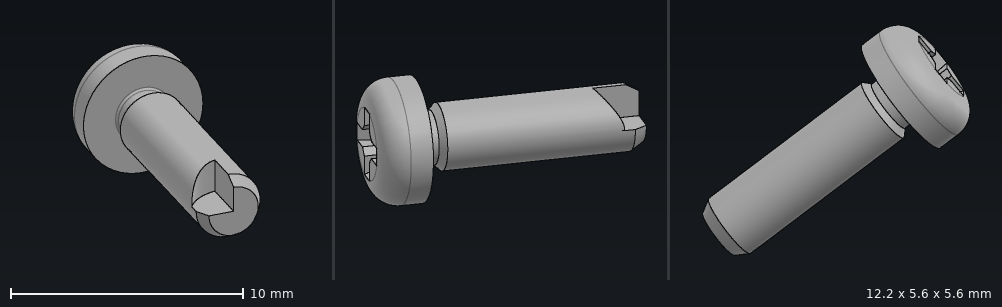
import cadquery as cq
import math

HEAD_RADIUS = 2.8
HEAD_HEIGHT = 2.2
DOME_RADIUS = 1.2

NECK_RADIUS = 1.2
NECK_END = 2.9
UNDERHEAD_FILLET = 0.1
SHANK_RADIUS = 1.5
SHANK_START = 3.2
TOTAL_LENGTH = 12.2

TIP_CHAMFER_LENGTH = 0.6
TIP_CHAMFER_ANGLE = 30

ARM_WIDTH = 0.8
ARM_REACH_AT_FACE = 1.56
ARM_REACH_AT_FLOOR = 1.05
RECESS_DEPTH = 1.4
CORNER_CHAMFER = 0.31

NOTCH_RADIUS = 2.1
NOTCH_CENTRE_Y = 0.3

MID_ARC = math.sqrt(0.5)


def make_body():
    """Head, neck and shank, revolved about the X axis."""
    dome_offset = DOME_RADIUS * MID_ARC
    fillet_offset = UNDERHEAD_FILLET * (1 - MID_ARC)
    tip_radius = SHANK_RADIUS - TIP_CHAMFER_LENGTH * math.tan(math.radians(TIP_CHAMFER_ANGLE))
    profile = (
        cq.Workplane("XY")
        .lineTo(0, HEAD_RADIUS - DOME_RADIUS)
        .threePointArc(
            (DOME_RADIUS - dome_offset, HEAD_RADIUS - DOME_RADIUS + dome_offset),
            (DOME_RADIUS, HEAD_RADIUS),
        )
        .lineTo(HEAD_HEIGHT, HEAD_RADIUS)
        .lineTo(HEAD_HEIGHT, NECK_RADIUS + UNDERHEAD_FILLET)
        .threePointArc(
            (HEAD_HEIGHT + fillet_offset, NECK_RADIUS + fillet_offset),
            (HEAD_HEIGHT + UNDERHEAD_FILLET, NECK_RADIUS),
        )
        .lineTo(NECK_END, NECK_RADIUS)
        .lineTo(SHANK_START, SHANK_RADIUS)
        .lineTo(TOTAL_LENGTH - TIP_CHAMFER_LENGTH, SHANK_RADIUS)
        .lineTo(TOTAL_LENGTH, tip_radius)
        .lineTo(TOTAL_LENGTH, 0)
        .close()
    )
    return profile.revolve(360, (0, 0, 0), (1, 0, 0))


def make_cross_recess():
    """Two crossing slots with sloped ends, around an eight-sided core."""
    slot = (
        cq.Workplane("XZ", origin=(0, ARM_WIDTH / 2, 0))
        .moveTo(0, -ARM_REACH_AT_FACE)
        .lineTo(0, ARM_REACH_AT_FACE)
        .lineTo(RECESS_DEPTH, ARM_REACH_AT_FLOOR)
        .lineTo(RECESS_DEPTH, -ARM_REACH_AT_FLOOR)
        .close()
        .extrude(ARM_WIDTH)
    )
    core_width = ARM_WIDTH + 2 * CORNER_CHAMFER
    core = (
        cq.Workplane("YZ")
        .rect(core_width, core_width)
        .extrude(RECESS_DEPTH)
        .edges("|X")
        .chamfer(CORNER_CHAMFER)
    )
    crossing_slot = slot.rotate((0, 0, 0), (1, 0, 0), 90)
    return core.union(slot).union(crossing_slot)


def make_tip_notch():
    """Round-ended cutter volume limited to the quarter with y < 0 and z > 0."""
    cutter = (
        cq.Workplane("XY")
        .center(TOTAL_LENGTH, NOTCH_CENTRE_Y)
        .circle(NOTCH_RADIUS)
        .extrude(SHANK_RADIUS)
    )
    quarter = cq.Workplane("XY").box(
        2 * TOTAL_LENGTH, SHANK_RADIUS, SHANK_RADIUS, centered=(True, False, False)
    )
    return cutter.intersect(quarter.translate((0, -SHANK_RADIUS, 0)))


result = make_body().cut(make_cross_recess()).cut(make_tip_notch())